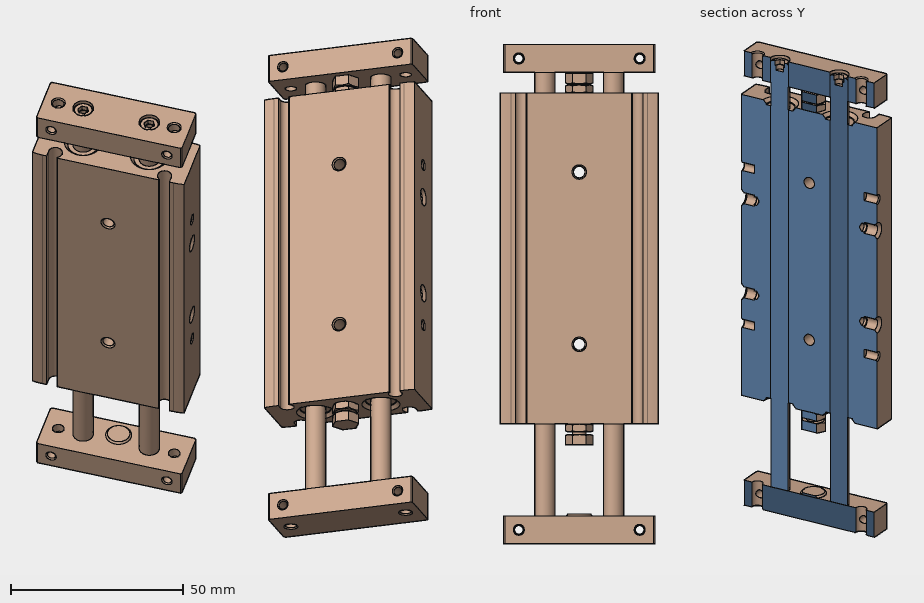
import cadquery as cq
import math

TOTAL_HEIGHT = 144.9
HOUSING_WIDTH = 46.0
HOUSING_DEPTH = 17.0
HOUSING_HEIGHT = 96.0
TOP_GAP = 6.0

PLATE_WIDTH = 44.0
PLATE_DEPTH = 14.9
PLATE_HEIGHT = 8.1
PLATE_EDGE_CHAMFER = 0.5
PLATE_HOLE_X = 17.5
PLATE_CROSS_HOLE_DIAMETER = 2.5
PLATE_CROSS_SINK_DIAMETER = 3.2
PLATE_HOLE_DIAMETER = 3.3
PLATE_HOLE_SINK_DIAMETER = 4.0

ROD_DIAMETER = 6.0
ROD_X = 10.0
ROD_RECESS = 0.7
ROD_RIM_CHAMFER = 0.5
ROD_SOCKET_ACROSS_CORNERS = 3.2
ROD_SOCKET_DEPTH = 1.5
ROD_DRILL_DIAMETER = 2.5
ROD_DRILL_DEPTH = 2.9

CORNER_DROP = 0.3
CROWN_INNER_X = 19.9
SLOT_OUTER_X = 18.5
SLOT_LIP_X = 15.2
SLOT_NECK_X = 15.5
SLOT_FLOOR_RADIUS = 2.0
SLOT_FLOOR_DEPTH = 2.0

MOUNT_PITCH = 50.0
MOUNT_DIAMETER = 3.3
MOUNT_SINK_DIAMETER = 4.2
MOUNT_CENTRE_FROM_TOP = 48.0
SIDE_HOLE_DIAMETER = 2.5
SIDE_HOLE_SINK_DIAMETER = 3.2
SIDE_HOLE_DEPTH = 4.3
PORT_PITCH = 30.0
PORT_DIAMETER = 3.3
PORT_SINK_DIAMETER = 5.0
PORT_DEPTH = 4.3
PORT_DRILL_DIAMETER = 2.5
PORT_DRILL_DEPTH = 5.2
ROD_SEAT_DIAMETER = 9.0
ROD_SEAT_SINK_DIAMETER = 11.0
ROD_SEAT_DEPTH = 1.3
DRILL_POINT_ANGLE = 118.0

BOLT_Y = 2.5
BOLT_DIAMETER = 4.0
BOLT_THREAD_DEPTH = 8.7
HEX_ACROSS_FLATS = 7.0
HEX_CHAMFER_HEIGHT = 0.3
HEX_CHAMFER_RUN = 0.7
HEAD_HEIGHT = 3.0
NUT_HEIGHT = 2.3
TOP_BOLT_REACH = 5.7
BOTTOM_BOLT_REACH = 6.1
BUMPER_BASE_DIAMETER = 7.5
BUMPER_TOP_DIAMETER = 6.5
BUMPER_HEIGHT = 0.6

HOUSING_TOP_Z = TOTAL_HEIGHT - PLATE_HEIGHT - TOP_GAP
HOUSING_BOTTOM_Z = HOUSING_TOP_Z - HOUSING_HEIGHT
TOP_PLATE_Z = TOTAL_HEIGHT - PLATE_HEIGHT
HOLE_CENTRE_Z = HOUSING_TOP_Z - MOUNT_CENTRE_FROM_TOP
HEX_ACROSS_CORNERS = HEX_ACROSS_FLATS / math.cos(math.pi / 6)
UP = (0, 0, 1)
DOWN = (0, 0, -1)
BOTH_SIDES = (-1, 1)


def cylinder(diameter, length, start, direction):
    """Solid cylinder used as a shaft or as a cutter."""
    solid = cq.Solid.makeCylinder(diameter / 2, length, cq.Vector(*start), cq.Vector(*direction))
    return cq.Workplane(obj=solid)


def cone(start_diameter, end_diameter, length, start, direction):
    """Solid cone, truncated unless its end diameter is zero."""
    solid = cq.Solid.makeCone(
        start_diameter / 2, end_diameter / 2, length, cq.Vector(*start), cq.Vector(*direction))
    return cq.Workplane(obj=solid)


def sink(outer_diameter, inner_diameter, start, direction):
    """45 degree countersink cutter, widest at its start point."""
    depth = (outer_diameter - inner_diameter) / 2
    return cone(outer_diameter, inner_diameter, depth, start, direction)


def through_hole_y(diameter, sink_diameter, depth_y, x, z):
    """Hole along Y through a block of the given depth, countersunk at both mouths."""
    hole = cylinder(diameter, depth_y, (x, -depth_y / 2, z), (0, 1, 0))
    for side in BOTH_SIDES:
        hole = hole.union(sink(sink_diameter, diameter, (x, side * depth_y / 2, z), (0, -side, 0)))
    return hole


def side_hole(side, z):
    """Countersunk flat-bottomed hole in a side wall of the housing."""
    mouth = (side * HOUSING_WIDTH / 2, 0, z)
    inward = (-side, 0, 0)
    hole = cylinder(SIDE_HOLE_DIAMETER, SIDE_HOLE_DEPTH, mouth, inward)
    return hole.union(sink(SIDE_HOLE_SINK_DIAMETER, SIDE_HOLE_DIAMETER, mouth, inward))


def port(side, z):
    """Countersunk air port in a side wall, with a smaller pointed drilling beyond its floor."""
    wall_x = side * HOUSING_WIDTH / 2
    mouth = (wall_x, 0, z)
    inward = (-side, 0, 0)
    tip_height = PORT_DRILL_DIAMETER / 2 / math.tan(math.radians(DRILL_POINT_ANGLE / 2))
    tip_start = (wall_x - side * PORT_DRILL_DEPTH, 0, z)
    hole = cylinder(PORT_DIAMETER, PORT_DEPTH, mouth, inward)
    hole = hole.union(sink(PORT_SINK_DIAMETER, PORT_DIAMETER, mouth, inward))
    hole = hole.union(cylinder(PORT_DRILL_DIAMETER, PORT_DRILL_DEPTH, mouth, inward))
    return hole.union(cone(PORT_DRILL_DIAMETER, 0, tip_height, tip_start, inward))


def make_profile_block():
    """Housing extrusion with crowned front and back faces and four sensor slots."""
    half_width = HOUSING_WIDTH / 2
    half_depth = HOUSING_DEPTH / 2
    corner_y = half_depth - CORNER_DROP
    crown_run = half_width - CROWN_INNER_X
    crown_radius = (crown_run**2 + CORNER_DROP**2) / (2 * CORNER_DROP)
    mid_run = crown_run / 2
    crown_mid_drop = crown_radius - math.sqrt(crown_radius**2 - mid_run**2)
    crown_mid = (CROWN_INNER_X + mid_run, half_depth - crown_mid_drop)
    floor_x = SLOT_OUTER_X - SLOT_FLOOR_RADIUS
    floor_y = half_depth - SLOT_FLOOR_DEPTH
    neck_offset = floor_x - SLOT_NECK_X
    neck_y = floor_y + math.sqrt(SLOT_FLOOR_RADIUS**2 - neck_offset**2)
    quarter = (
        cq.Workplane("XY", origin=(0, 0, HOUSING_BOTTOM_Z))
        .lineTo(half_width, 0)
        .lineTo(half_width, corner_y)
        .threePointArc(crown_mid, (CROWN_INNER_X, half_depth))
        .lineTo(SLOT_OUTER_X, half_depth)
        .lineTo(SLOT_OUTER_X, floor_y)
        .threePointArc((floor_x, floor_y - SLOT_FLOOR_RADIUS), (SLOT_NECK_X, neck_y))
        .lineTo(SLOT_LIP_X, half_depth)
        .lineTo(0, half_depth)
        .close()
        .extrude(HOUSING_HEIGHT)
    )
    half = quarter.union(quarter.mirror("XZ"))
    return half.union(half.mirror("YZ")).clean()


def cut_wall_holes(housing):
    """Mounting holes through the depth, with side holes and ports in both side walls."""
    for end in BOTH_SIDES:
        mount_z = HOLE_CENTRE_Z + end * MOUNT_PITCH / 2
        port_z = HOLE_CENTRE_Z + end * PORT_PITCH / 2
        housing = housing.cut(through_hole_y(MOUNT_DIAMETER, MOUNT_SINK_DIAMETER, HOUSING_DEPTH, 0, mount_z))
        for side in BOTH_SIDES:
            housing = housing.cut(side_hole(side, mount_z))
            housing = housing.cut(port(side, port_z))
    return housing


def cut_end_bores(housing):
    """Rod bores with their countersunk end seats, and the threaded holes for the stop bolts."""
    ends = ((HOUSING_TOP_Z, DOWN), (HOUSING_BOTTOM_Z, UP))
    for side in BOTH_SIDES:
        housing = housing.cut(
            cylinder(ROD_DIAMETER, HOUSING_HEIGHT, (side * ROD_X, 0, HOUSING_BOTTOM_Z), UP))
        for end_z, inward in ends:
            centre = (side * ROD_X, 0, end_z)
            housing = housing.cut(cylinder(ROD_SEAT_DIAMETER, ROD_SEAT_DEPTH, centre, inward))
            housing = housing.cut(sink(ROD_SEAT_SINK_DIAMETER, ROD_SEAT_DIAMETER, centre, inward))
    for end_z, inward in ends:
        housing = housing.cut(cylinder(BOLT_DIAMETER, BOLT_THREAD_DEPTH, (0, BOLT_Y, end_z), inward))
    return housing


def make_housing():
    return cut_end_bores(cut_wall_holes(make_profile_block()))


def make_plate(inner_z, outward):
    """End plate from its inner face outwards, with two cross holes and two holes along Z."""
    plate = (
        cq.Workplane("XY", origin=(0, 0, inner_z))
        .rect(PLATE_WIDTH, PLATE_DEPTH)
        .extrude(outward * PLATE_HEIGHT)
        .edges("|Z")
        .chamfer(PLATE_EDGE_CHAMFER)
    )
    mid_z = inner_z + outward * PLATE_HEIGHT / 2
    outer_z = inner_z + outward * PLATE_HEIGHT
    inward = (0, 0, -outward)
    for side in BOTH_SIDES:
        x = side * PLATE_HOLE_X
        plate = plate.cut(
            through_hole_y(PLATE_CROSS_HOLE_DIAMETER, PLATE_CROSS_SINK_DIAMETER, PLATE_DEPTH, x, mid_z))
        plate = plate.cut(cylinder(PLATE_HOLE_DIAMETER, PLATE_HEIGHT, (x, 0, outer_z), inward))
        plate = plate.cut(sink(PLATE_HOLE_SINK_DIAMETER, PLATE_HOLE_DIAMETER, (x, 0, outer_z), inward))
    return plate


def make_top_plate():
    """Upper end plate, bored through for the rod ends."""
    plate = make_plate(TOP_PLATE_Z, 1)
    for side in BOTH_SIDES:
        plate = plate.cut(cylinder(ROD_DIAMETER, PLATE_HEIGHT, (side * ROD_X, 0, TOP_PLATE_Z), UP))
    return plate


def make_guide_rod(x):
    """Rod from the bottom plate into the top plate, with a hexagon socket in its upper end."""
    end_z = TOTAL_HEIGHT - ROD_RECESS
    guide_rod = cylinder(ROD_DIAMETER, end_z - PLATE_HEIGHT, (x, 0, PLATE_HEIGHT), UP)
    guide_rod = guide_rod.faces(">Z").chamfer(ROD_RIM_CHAMFER)
    socket = (
        cq.Workplane("XY", origin=(x, 0, end_z))
        .polygon(6, ROD_SOCKET_ACROSS_CORNERS)
        .extrude(-ROD_SOCKET_DEPTH)
    )
    drilling = cylinder(ROD_DRILL_DIAMETER, ROD_DRILL_DEPTH, (x, 0, end_z), DOWN)
    return guide_rod.cut(socket).cut(drilling)


def chamfered_hex(height, chamfered_ends):
    """Hexagon prism standing on Z = 0, its corners cut by a cone at the chosen ends."""
    prism = cq.Workplane("XY").polygon(6, HEX_ACROSS_CORNERS).extrude(height)
    envelope = cq.Workplane("XY").circle(HEX_ACROSS_CORNERS / 2).extrude(height)
    for end_face in chamfered_ends:
        envelope = envelope.faces(end_face).edges().chamfer(HEX_CHAMFER_HEIGHT, HEX_CHAMFER_RUN)
    return prism.intersect(envelope)


def make_stop_bolt(reach):
    """Bolt pointing up from Z = 0, where its locknut rests on the housing; the thread runs below."""
    shank = cylinder(BOLT_DIAMETER, BOLT_THREAD_DEPTH + reach, (0, 0, -BOLT_THREAD_DEPTH), UP)
    nut = chamfered_hex(NUT_HEIGHT, chamfered_ends=("<Z", ">Z"))
    head = chamfered_hex(HEAD_HEIGHT, chamfered_ends=("<Z",)).translate((0, 0, reach - HEAD_HEIGHT))
    return shank.union(nut).union(head)


def make_bumper():
    """Tapered round pad on the inner face of the bottom plate."""
    return cone(BUMPER_BASE_DIAMETER, BUMPER_TOP_DIAMETER, BUMPER_HEIGHT, (0, BOLT_Y, PLATE_HEIGHT), UP)


housing = make_housing()
top_plate = make_top_plate()
bottom_plate = make_plate(PLATE_HEIGHT, -1)
guide_rods = [make_guide_rod(side * ROD_X) for side in BOTH_SIDES]
top_bolt = make_stop_bolt(TOP_BOLT_REACH).translate((0, BOLT_Y, HOUSING_TOP_Z))
bottom_bolt = make_stop_bolt(BOTTOM_BOLT_REACH).mirror("XY").translate((0, BOLT_Y, HOUSING_BOTTOM_Z))
bumper = make_bumper()

result = cq.Compound.makeCompound([
    housing.val(),
    top_plate.val(),
    bottom_plate.val(),
    *[guide_rod.val() for guide_rod in guide_rods],
    top_bolt.val(),
    bottom_bolt.val(),
    bumper.val(),
])